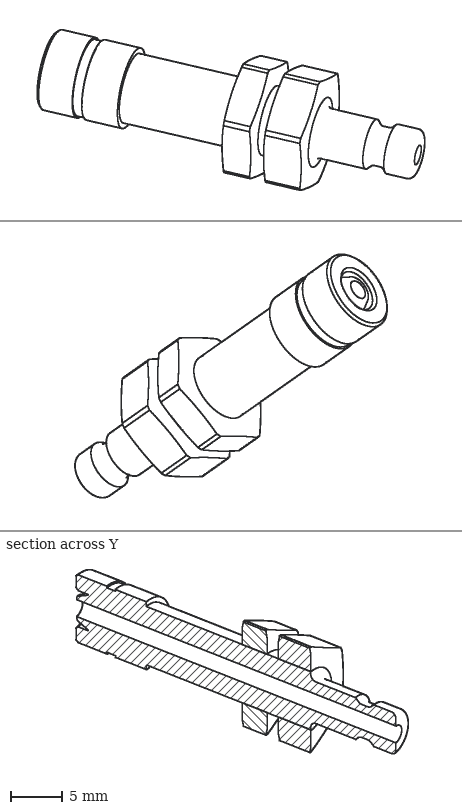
import cadquery as cq
import math

LENGTH = 38.15

HEAD_RADIUS = 8.1 / 2
HEAD_END = 8.45
HEAD_CHAMFER = 0.25
GRIP_GROOVE_RADIUS = 7.7 / 2
GRIP_GROOVE_START = 3.75
GRIP_GROOVE_END = 4.75

TUBE_RADIUS = 7.0 / 2
TUBE_END = 28.05
PLUG_RADIUS = 5.0 / 2
ROOT_FILLET = 0.57
TIP_FILLET = 0.57
PLANE_TOLERANCE = 0.05

LATCH_RADIUS = 3.95 / 2
LATCH_START = 33.35
LATCH_END = 35.53
LATCH_FLANK = PLUG_RADIUS - LATCH_RADIUS
LATCH_FILLET = 0.45

MOUTH_RADIUS = 4.8 / 2
SOCKET_RADIUS = 4.25 / 2
MOUTH_DEPTH = 0.3
SOCKET_DEPTH = 1.53
NOZZLE_TIP_X = 0.1
NOZZLE_TIP_RADIUS = 2.85 / 2
NOZZLE_BASE_RADIUS = 4.25 / 2
NOZZLE_FILLET = 0.23
BORE_RADIUS = 1.95 / 2

NUT_ACROSS_FLATS = 11.0
NUT_CORNER_RADIUS = 12.4 / 2
NUT_FACE_RADIUS = 10.9 / 2
NUT_CHAMFER_LENGTH = 0.15
LOCK_NUT_START = 19.8
LOCK_NUT_WIDTH = 3.0
END_NUT_WIDTH = 3.93


def revolve_profile(points):
    """Turn a closed (x, radius) profile about the X axis."""
    return cq.Workplane("XY").polyline(points).close().revolve(360, (0, 0, 0), (1, 0, 0))


def cylinder(start, end, radius):
    return cq.Workplane("YZ", origin=(start, 0, 0)).circle(radius).extrude(end - start)


def make_outside():
    """Head, tube and plug as one turned shape."""
    head = cylinder(0, HEAD_END, HEAD_RADIUS).faces("<X").chamfer(HEAD_CHAMFER)
    groove = cylinder(GRIP_GROOVE_START, GRIP_GROOVE_END, HEAD_RADIUS).cut(
        cylinder(GRIP_GROOVE_START, GRIP_GROOVE_END, GRIP_GROOVE_RADIUS)
    )
    shank = revolve_profile([
        (HEAD_END, 0),
        (HEAD_END, TUBE_RADIUS),
        (TUBE_END, TUBE_RADIUS),
        (TUBE_END, PLUG_RADIUS),
        (LATCH_START, PLUG_RADIUS),
        (LATCH_START + LATCH_FLANK, LATCH_RADIUS),
        (LATCH_END - LATCH_FLANK, LATCH_RADIUS),
        (LATCH_END, PLUG_RADIUS),
        (LENGTH, PLUG_RADIUS),
        (LENGTH, 0),
    ])
    shank = shank.edges(cq.selectors.RadiusNthSelector(0)).fillet(LATCH_FILLET)
    tube_end_edges = shank.faces(cq.selectors.BoxSelector(
        (TUBE_END - PLANE_TOLERANCE, -TUBE_RADIUS, -TUBE_RADIUS),
        (TUBE_END + PLANE_TOLERANCE, TUBE_RADIUS, TUBE_RADIUS),
    )).edges()
    shank = tube_end_edges.edges(cq.selectors.RadiusNthSelector(0)).fillet(ROOT_FILLET)
    shank = shank.faces(">X").edges().fillet(TIP_FILLET)
    return head.cut(groove).union(shank)


def make_socket():
    """Tapered mouth and straight recess to be removed from the head."""
    return revolve_profile([
        (0, 0),
        (0, MOUTH_RADIUS),
        (MOUTH_DEPTH, SOCKET_RADIUS),
        (SOCKET_DEPTH, SOCKET_RADIUS),
        (SOCKET_DEPTH, 0),
    ])


def make_nozzle():
    """Tapered nozzle standing on the floor of the socket."""
    nozzle = revolve_profile([
        (NOZZLE_TIP_X, 0),
        (NOZZLE_TIP_X, NOZZLE_TIP_RADIUS),
        (SOCKET_DEPTH, NOZZLE_BASE_RADIUS),
        (SOCKET_DEPTH, 0),
    ])
    return nozzle.faces("<X").edges().fillet(NOZZLE_FILLET)


def make_coupling():
    bore = cylinder(0, LENGTH, BORE_RADIUS)
    return make_outside().cut(make_socket()).union(make_nozzle()).cut(bore)


def make_nut(start, width):
    """Hexagon nut with turned corners, chamfered on both faces."""
    hexagon_diameter = NUT_ACROSS_FLATS / math.cos(math.pi / 6)
    hexagon = (
        cq.Workplane("YZ", origin=(start, 0, 0))
        .transformed(rotate=(0, 0, 90))
        .polygon(6, hexagon_diameter)
        .extrude(width)
    )
    end = start + width
    turned_envelope = revolve_profile([
        (start, 0),
        (start, NUT_FACE_RADIUS),
        (start + NUT_CHAMFER_LENGTH, NUT_CORNER_RADIUS),
        (end - NUT_CHAMFER_LENGTH, NUT_CORNER_RADIUS),
        (end, NUT_FACE_RADIUS),
        (end, 0),
    ])
    return hexagon.intersect(turned_envelope).cut(cylinder(start, end, TUBE_RADIUS))


coupling = make_coupling()
nuts = [
    make_nut(start, width)
    for start, width in [
        (LOCK_NUT_START, LOCK_NUT_WIDTH),
        (TUBE_END - END_NUT_WIDTH, END_NUT_WIDTH),
    ]
]

result = cq.Compound.makeCompound([coupling.val(), *[nut.val() for nut in nuts]])